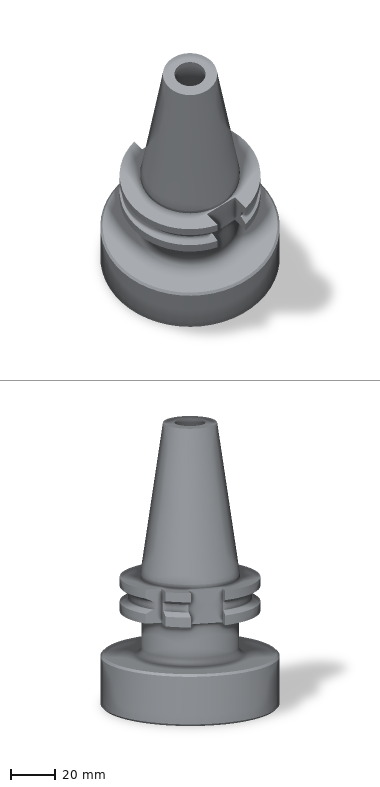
import cadquery as cq
import math

total_height = 131.4
shank_length = 68.4
gauge_height = total_height - shank_length
flange_top = gauge_height - 3.2
flange_bottom = gauge_height - 19.1
groove_center = gauge_height - 11.0
base_height = 24.1

gauge_radius = 44.45 / 2
taper_slope = 7 / 48
small_end_radius = gauge_radius - shank_length * taper_slope

taper_overrun = 1.6
collar_top = gauge_height - taper_overrun
collar_radius = gauge_radius + taper_overrun * taper_slope

flange_radius = 63.55 / 2
groove_radius = 28.05
groove_mouth_half = 3.55
groove_floor_half = 1.85
groove_flank_angle = 30
groove_flank_run = (groove_mouth_half - groove_floor_half) / math.tan(math.radians(groove_flank_angle))
groove_shelf_radius = flange_radius - groove_flank_run

neck_radius = 22.0
neck_top_fillet = 2.0
neck_bottom_fillet = 3.0
base_radius = 40.5
base_chamfer = 1.0
bore_diameter = 14.0

slot_width = 16.1
slot_floor_minus_x = 25.0
slot_floor_plus_x = 22.8
rim_clearance = flange_radius + 1
notch_wall_distance = 18.5


def revolved_body():
    """Turned outline: base, neck, grooved flange, collar and taper shank."""
    diagonal = math.sqrt(0.5)
    lower_arc_center = (neck_radius + neck_bottom_fillet, base_height + neck_bottom_fillet)
    lower_arc_middle = (
        lower_arc_center[0] - neck_bottom_fillet * diagonal,
        lower_arc_center[1] - neck_bottom_fillet * diagonal,
    )
    upper_arc_center = (neck_radius + neck_top_fillet, flange_bottom - neck_top_fillet)
    upper_arc_middle = (
        upper_arc_center[0] - neck_top_fillet * diagonal,
        upper_arc_center[1] + neck_top_fillet * diagonal,
    )
    outline = (
        cq.Workplane("YZ")
        .moveTo(0, 0)
        .lineTo(base_radius - base_chamfer, 0)
        .lineTo(base_radius, base_chamfer)
        .lineTo(base_radius, base_height - base_chamfer)
        .lineTo(base_radius - base_chamfer, base_height)
        .lineTo(lower_arc_center[0], base_height)
        .threePointArc(lower_arc_middle, (neck_radius, lower_arc_center[1]))
        .lineTo(neck_radius, upper_arc_center[1])
        .threePointArc(upper_arc_middle, (upper_arc_center[0], flange_bottom))
        .lineTo(flange_radius, flange_bottom)
        .lineTo(flange_radius, groove_center - groove_mouth_half)
        .lineTo(groove_shelf_radius, groove_center - groove_floor_half)
        .lineTo(groove_radius, groove_center - groove_floor_half)
        .lineTo(groove_radius, groove_center + groove_floor_half)
        .lineTo(groove_shelf_radius, groove_center + groove_floor_half)
        .lineTo(flange_radius, groove_center + groove_mouth_half)
        .lineTo(flange_radius, flange_top)
        .lineTo(collar_radius, flange_top)
        .lineTo(collar_radius, collar_top)
        .lineTo(small_end_radius, total_height)
        .lineTo(0, total_height)
        .close()
    )
    return outline.revolve(360, (0, 0, 0), (0, 1, 0))


def flange_cutter(x_inner, x_outer, y_inner, y_outer):
    """Box through the flange and the fillet below it, between the given X and Y limits."""
    cutter_bottom = flange_bottom - neck_top_fillet
    return (
        cq.Workplane("XY")
        .workplane(offset=cutter_bottom)
        .moveTo(x_inner, y_inner)
        .lineTo(x_outer, y_inner)
        .lineTo(x_outer, y_outer)
        .lineTo(x_inner, y_outer)
        .close()
        .extrude(flange_top - cutter_bottom)
    )


def cut_drive_slots(body):
    """Two drive slots on the X axis with floors at different depths."""
    for direction, floor in ((-1, slot_floor_minus_x), (1, slot_floor_plus_x)):
        cutter = flange_cutter(direction * floor, direction * rim_clearance, -slot_width / 2, slot_width / 2)
        body = body.cut(cutter)
    return body


def cut_orientation_notch(body):
    """Square notch in the flange rim at the -X, +Y corner."""
    cutter = flange_cutter(-notch_wall_distance, -rim_clearance, notch_wall_distance, rim_clearance)
    return body.cut(cutter)


def cut_bore(body):
    """Straight bore along the axis, right through the part."""
    bore = cq.Workplane("XY").circle(bore_diameter / 2).extrude(total_height)
    return body.cut(bore)


result = cut_bore(cut_orientation_notch(cut_drive_slots(revolved_body())))